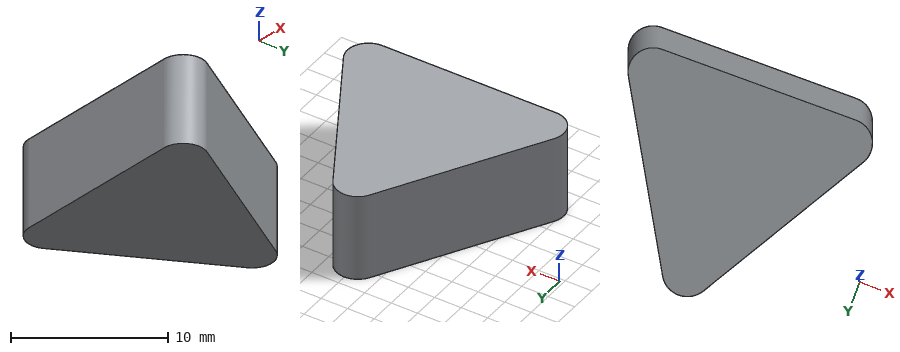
import cadquery as cq
import math

corner_radius = 1.6
straight_side = 13.16
thickness = 6.55

sharp_side = straight_side + 2 * corner_radius * math.sqrt(3)
inscribed_radius = sharp_side / (2 * math.sqrt(3))
circumscribed_radius = 2 * inscribed_radius


def triangular_prism():
    """Sharp-cornered prism centred on the Z axis, one side facing -Y and one corner at +Y."""
    corners = [
        (-sharp_side / 2, -inscribed_radius),
        (sharp_side / 2, -inscribed_radius),
        (0, circumscribed_radius),
    ]
    return cq.Workplane("XY").polyline(corners).close().extrude(thickness)


result = triangular_prism().edges("|Z").fillet(corner_radius)